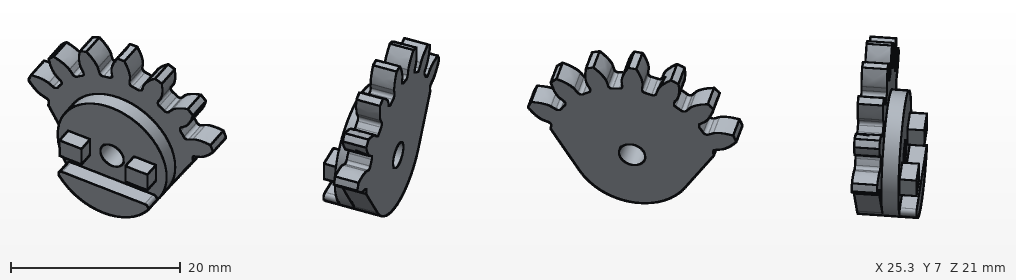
import cadquery as cq
import math

overall_width = 25.3
full_gear_teeth = 16
sector_teeth = 7
pressure_angle = math.radians(20)
root_fillet = 0.45
corner_tolerance = 0.05
flank_points = 7
dedendum_factor = 1.25


def involute(angle):
    return math.tan(angle) - angle


tooth_pitch = 2 * math.pi / full_gear_teeth
tip_pressure = math.acos(full_gear_teeth * math.cos(pressure_angle) / (full_gear_teeth + 2))
tip_half_angle = tooth_pitch / 4 + involute(pressure_angle) - involute(tip_pressure)
outer_corner_angle = (sector_teeth - 1) / 2 * tooth_pitch + tip_half_angle
tip_radius = overall_width / 2 / math.sin(outer_corner_angle)

module = tip_radius / (full_gear_teeth / 2 + 1)
pitch_radius = module * full_gear_teeth / 2
base_radius = pitch_radius * math.cos(pressure_angle)
root_radius = pitch_radius - dedendum_factor * module

hub_radius = 7.47
bore_diameter = 3.2
plate_thickness = 3.0
hub_thickness = 2.0
boss_height = 2.0

peg_width = 3.0
peg_height = 2.43
peg_offset = 4.5
foot_top = -3.57
foot_corner_radius = 0.5


def polar(radius, angle):
    """Point at an angle measured from +Z toward +X."""
    return radius * math.sin(angle), radius * math.cos(angle)


def tooth_half_angle(radius):
    """Half the angle a tooth covers at a radius on its involute flank."""
    local_pressure = math.acos(min(1.0, base_radius / radius))
    return tooth_pitch / 4 + involute(pressure_angle) - involute(local_pressure)


def disc(radius, front, depth):
    """Cylinder about the Y axis, from the front plane toward +Y."""
    return cq.Workplane("XZ", origin=(0, front, 0)).circle(radius).extrude(-depth)


def tooth(center_angle):
    """One tooth: radial feet inside the base circle, involute flanks and a round tip."""
    radii = [
        base_radius + (tip_radius - base_radius) * (i / (flank_points - 1)) ** 2
        for i in range(flank_points)
    ]
    left = [polar(r, center_angle - tooth_half_angle(r)) for r in radii]
    right = [polar(r, center_angle + tooth_half_angle(r)) for r in reversed(radii)]
    half_foot = tooth_half_angle(base_radius)
    buried_radius = (hub_radius + root_radius) / 2
    return (
        cq.Workplane("XZ")
        .moveTo(*polar(buried_radius, center_angle - half_foot))
        .lineTo(*left[0])
        .spline(left[1:], includeCurrent=True)
        .threePointArc(polar(tip_radius, center_angle), right[0])
        .spline(right[1:], includeCurrent=True)
        .lineTo(*polar(buried_radius, center_angle + half_foot))
        .close()
        .extrude(-plate_thickness)
    )


def sector_body():
    """Root-circle arc joined to the hub circle by two tangent lines."""
    end_angle = sector_teeth * tooth_pitch / 2
    tangent_angle = end_angle + math.acos(hub_radius / root_radius)
    return (
        cq.Workplane("XZ")
        .moveTo(*polar(root_radius, -end_angle))
        .threePointArc((0, root_radius), polar(root_radius, end_angle))
        .lineTo(*polar(hub_radius, tangent_angle))
        .threePointArc((0, -hub_radius), polar(hub_radius, -tangent_angle))
        .close()
        .extrude(-plate_thickness)
    )


def gear_plate():
    plate = sector_body()
    foot_half_angle = tooth_half_angle(base_radius)
    root_corners = []
    for i in range(sector_teeth):
        center_angle = (i - (sector_teeth - 1) / 2) * tooth_pitch
        plate = plate.union(tooth(center_angle))
        for side in (-1, 1):
            x, z = polar(root_radius, center_angle + side * foot_half_angle)
            root_corners.append(cq.Vector(x, plate_thickness / 2, z))
    edges = [
        edge
        for edge in plate.edges("|Y").vals()
        if any((edge.Center() - corner).Length < corner_tolerance for corner in root_corners)
    ]
    return plate.newObject(edges).fillet(root_fillet)


def pegs():
    return (
        cq.Workplane("XZ", origin=(0, -hub_thickness, 0))
        .pushPoints([(-peg_offset, 0), (peg_offset, 0)])
        .rect(peg_width, peg_height)
        .extrude(boss_height)
    )


def foot():
    """Segment of the hub circle below a flat top, with rounded upper corners."""
    half_chord = math.sqrt(hub_radius**2 - foot_top**2)
    return (
        cq.Workplane("XZ", origin=(0, -hub_thickness, 0))
        .moveTo(-half_chord, foot_top)
        .lineTo(half_chord, foot_top)
        .threePointArc((0, -hub_radius), (-half_chord, foot_top))
        .close()
        .extrude(boss_height)
        .edges("|Y")
        .fillet(foot_corner_radius)
    )


hub = disc(hub_radius, -hub_thickness, hub_thickness)
bore = disc(bore_diameter / 2, -hub_thickness, hub_thickness + plate_thickness)

result = gear_plate().union(hub).union(pegs()).union(foot()).cut(bore)